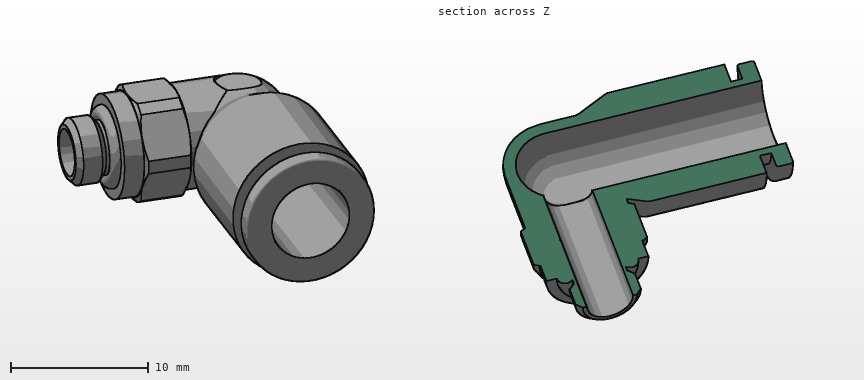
import cadquery as cq
import math


overall_length = 20.9

elbow_radius = 3.95
tube_radius = 3.0
badge_radius = 1.74

hex_across_flats = 7.99
hex_corner_radius = 4.35
hex_chamfer_radius = 3.97
hex_chamfer_height = 0.2
hex_start = 4.9
hex_end = 8.53

collar_radius = 3.9
collar_end = 10.04
seal_ring_radius = 2.49
seal_section_radius = 0.63
neck_radius = 2.05
neck_end = 10.81
thread_radius = 2.5
thread_chamfer = 0.44
thread_bore_radius = 1.75
thread_end = 13.15

socket_radius = 5.25
cone_start = 2.75
cone_end = 5.42
cone_blend_radius = 0.77
socket_end = 14.4
release_neck_radius = 3.6
flange_start = 15.25
flange_radius = 4.95
flange_rounding = 0.2
fitting_end = overall_length - hex_corner_radius


def threaded_leg_rod(radius, start, end):
    """Cylinder about the Y axis between two distances from the elbow centre."""
    return cq.Workplane("XZ", origin=(0, -start, 0)).circle(radius).extrude(end - start)


def socket_leg_rod(radius, start, end):
    """Cylinder about the X axis between two distances from the elbow centre."""
    return cq.Workplane("YZ", origin=(start, 0, 0)).circle(radius).extrude(end - start)


def make_hexagon():
    """Hexagon with rounded corners and both ends chamfered."""
    corner_to_corner = hex_across_flats / math.cos(math.pi / 6)
    prism = (
        cq.Workplane("XZ", origin=(0, -hex_start, 0))
        .polygon(6, corner_to_corner)
        .extrude(hex_end - hex_start)
    )
    envelope = (
        cq.Workplane("XY")
        .moveTo(0, -hex_start)
        .lineTo(hex_chamfer_radius, -hex_start)
        .lineTo(hex_corner_radius, -hex_start - hex_chamfer_height)
        .lineTo(hex_corner_radius, -hex_end + hex_chamfer_height)
        .lineTo(hex_chamfer_radius, -hex_end)
        .lineTo(0, -hex_end)
        .close()
        .revolve(360, (0, 0, 0), (0, 1, 0))
    )
    return prism.intersect(envelope)


def make_threaded_end():
    """Collar, half-sunk sealing ring, undercut neck and plain thread."""
    collar = threaded_leg_rod(collar_radius, hex_end, collar_end)
    seal = (
        cq.Workplane("XY")
        .center(seal_ring_radius, -collar_end)
        .circle(seal_section_radius)
        .revolve(360, (-seal_ring_radius, 0, 0), (-seal_ring_radius, 1, 0))
    )
    neck = threaded_leg_rod(neck_radius, collar_end, neck_end)
    thread = threaded_leg_rod(thread_radius, neck_end, thread_end)
    chamfered_thread = thread.edges("%CIRCLE").chamfer(thread_chamfer)
    return collar.union(seal).union(neck).union(chamfered_thread)


def make_socket():
    """Elbow outlet widening through a blended cone into the tube socket."""
    outline = (
        cq.Workplane("XY")
        .lineTo(0, elbow_radius)
        .lineTo(cone_start, elbow_radius)
        .lineTo(cone_end, socket_radius)
        .lineTo(socket_end, socket_radius)
        .lineTo(socket_end, 0)
        .close()
    )
    socket = outline.revolve(360, (0, 0, 0), (1, 0, 0))
    margin = 0.2
    cone_edges = cq.selectors.BoxSelector(
        (cone_start - margin, -socket_radius - margin, -socket_radius - margin),
        (cone_end + margin, socket_radius + margin, socket_radius + margin),
    )
    return socket.edges("%CIRCLE").edges(cone_edges).fillet(cone_blend_radius)


def make_release_ring():
    """Narrow neck and rounded flange at the tube opening."""
    neck = socket_leg_rod(release_neck_radius, socket_end, flange_start)
    flange = socket_leg_rod(flange_radius, flange_start, fitting_end)
    rounded_flange = flange.edges("%CIRCLE").fillet(flange_rounding)
    return neck.union(rounded_flange)


def make_badge_cut():
    """Round recess whose floor just meets the spherical elbow at its rim."""
    floor_height = math.sqrt(elbow_radius**2 - badge_radius**2)
    return (
        cq.Workplane("XY", origin=(0, 0, floor_height))
        .circle(badge_radius)
        .extrude(elbow_radius - floor_height)
    )


def make_bore():
    """Thread bore meeting a wider tube bore with a spherical end at the elbow."""
    corner = cq.Workplane("XY").sphere(tube_radius)
    inlet = threaded_leg_rod(thread_bore_radius, 0, thread_end)
    outlet = socket_leg_rod(tube_radius, 0, fitting_end)
    return corner.union(inlet).union(outlet)


body = (
    cq.Workplane("XY")
    .sphere(elbow_radius)
    .union(threaded_leg_rod(elbow_radius, 0, hex_start))
    .union(make_socket())
    .union(make_hexagon())
    .union(make_threaded_end())
    .union(make_release_ring())
)
result = body.cut(make_badge_cut()).cut(make_bore())